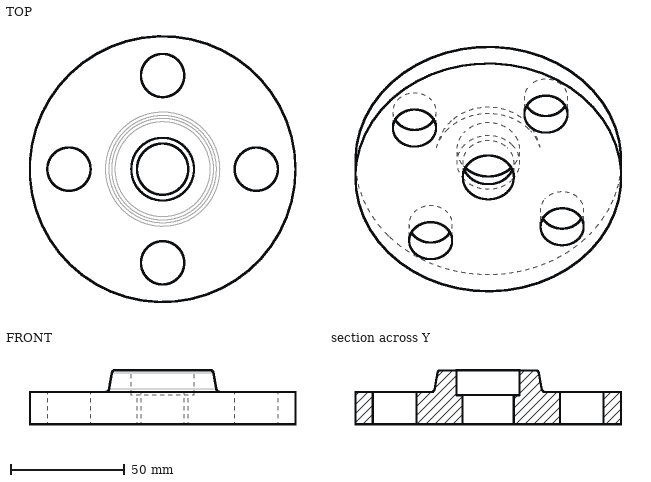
import cadquery as cq
import math

flange_diameter = 117.3
flange_thickness = 14.3
total_height = 23.9

bolt_hole_count = 4
bolt_hole_diameter = 19.0
bolt_circle_diameter = 82.6

hub_base_diameter = 47.9
hub_taper_angle = 10.0
hub_blend_radius = 1.5
hub_height = total_height - flange_thickness
hub_top_diameter = hub_base_diameter - 2 * hub_height * math.tan(math.radians(hub_taper_angle))

bore_diameter = 22.5
socket_diameter = 27.7
socket_depth = 11.0


def make_blank():
    """Plate and tapered hub revolved about Z, bottom face on Z = 0."""
    profile = (
        cq.Workplane("XZ")
        .lineTo(flange_diameter / 2, 0)
        .lineTo(flange_diameter / 2, flange_thickness)
        .lineTo(hub_base_diameter / 2, flange_thickness)
        .lineTo(hub_top_diameter / 2, total_height)
        .lineTo(0, total_height)
        .close()
    )
    return profile.revolve(360, (0, 0, 0), (0, 1, 0))


def round_hub(body):
    """Blend the hub into the plate and round its top rim."""
    hub_edges = body.faces("%CONE").edges("%CIRCLE")
    return hub_edges.fillet(hub_blend_radius)


def cut_stepped_bore(body):
    top = body.faces(">Z").workplane(origin=(0, 0, total_height))
    return top.cboreHole(bore_diameter, socket_diameter, socket_depth)


def cut_bolt_holes(body):
    return (
        body.faces("<Z")
        .workplane(origin=(0, 0, 0))
        .polarArray(bolt_circle_diameter / 2, 0, 360, bolt_hole_count)
        .hole(bolt_hole_diameter)
    )


result = cut_bolt_holes(cut_stepped_bore(round_hub(make_blank())))